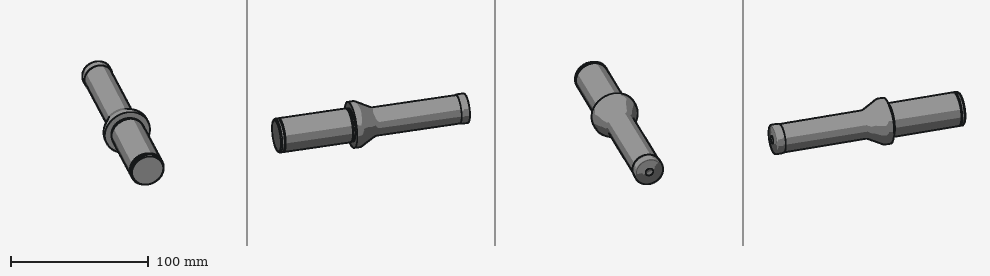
import cadquery as cq
import math

total_length = 144.0

head_length = 7.0
head_diameter = 21.9
head_taper_start = 5.2
head_back_diameter = 21.5
head_corner_radius = 0.9
face_diameter = 18.7
face_setback = 0.6
point_diameter = 10.1
point_setback = 0.5
dimple_diameter = 5.8
dimple_depth = 0.6

neck_diameter = 21.0
neck_fillet_start = 69.5
neck_fillet_radius = 5.2
cone_angle = math.radians(28)
collar_diameter = 34.0
collar_fillet_radius = 3.6
collar_back = 87.7

shank_diameter = 25.0
relief_diameter = 24.5
undercut_width = 1.3
undercut_taper = 0.9
groove_start = 140.4
groove_width = 0.9
end_chamfer_length = 1.0
end_chamfer_height = 0.9


def revolve_about_x(profile):
    """Revolve a closed profile, drawn as (X, radius), about the X axis."""
    return profile.close().revolve(360, (0, 0, 0), (1, 0, 0))


def make_head():
    radius = head_diameter / 2
    arc_center_x = face_setback + head_corner_radius
    arc_center_r = radius - head_corner_radius
    diagonal = head_corner_radius * math.sqrt(0.5)
    profile = (
        cq.Workplane("XY")
        .moveTo(dimple_depth, 0)
        .lineTo(0, dimple_diameter / 2)
        .lineTo(point_setback, point_diameter / 2)
        .lineTo(face_setback, face_diameter / 2)
        .lineTo(face_setback, arc_center_r)
        .threePointArc((arc_center_x - diagonal, arc_center_r + diagonal), (arc_center_x, radius))
        .lineTo(head_taper_start, radius)
        .lineTo(head_length, head_back_diameter / 2)
        .lineTo(head_length, 0)
    )
    return revolve_about_x(profile)


def make_holder():
    neck_radius = neck_diameter / 2
    collar_radius = collar_diameter / 2
    shank_radius = shank_diameter / 2
    relief_radius = relief_diameter / 2

    def arc_run(radius, angle):
        return radius * math.sin(angle)

    def arc_rise(radius, angle):
        return radius * (1 - math.cos(angle))

    half_angle = cone_angle / 2
    neck_arc_middle = (
        neck_fillet_start + arc_run(neck_fillet_radius, half_angle),
        neck_radius + arc_rise(neck_fillet_radius, half_angle),
    )
    cone_start = (
        neck_fillet_start + arc_run(neck_fillet_radius, cone_angle),
        neck_radius + arc_rise(neck_fillet_radius, cone_angle),
    )
    cone_end_radius = collar_radius - arc_rise(collar_fillet_radius, cone_angle)
    cone_end_x = cone_start[0] + (cone_end_radius - cone_start[1]) / math.tan(cone_angle)
    rim_start = cone_end_x + arc_run(collar_fillet_radius, cone_angle)
    collar_arc_middle = (
        rim_start - arc_run(collar_fillet_radius, half_angle),
        collar_radius - arc_rise(collar_fillet_radius, half_angle),
    )

    undercut_end = collar_back + undercut_width
    groove_end = groove_start + groove_width
    profile = (
        cq.Workplane("XY")
        .moveTo(head_length, 0)
        .lineTo(head_length, neck_radius)
        .lineTo(neck_fillet_start, neck_radius)
        .threePointArc(neck_arc_middle, cone_start)
        .lineTo(cone_end_x, cone_end_radius)
        .threePointArc(collar_arc_middle, (rim_start, collar_radius))
        .lineTo(collar_back, collar_radius)
        .lineTo(collar_back, relief_radius)
        .lineTo(undercut_end, relief_radius)
        .lineTo(undercut_end + undercut_taper, shank_radius)
        .lineTo(groove_start, shank_radius)
        .lineTo(groove_start + groove_width / 2, relief_radius)
        .lineTo(groove_end, shank_radius)
        .lineTo(total_length - end_chamfer_length, shank_radius)
        .lineTo(total_length, shank_radius - end_chamfer_height)
        .lineTo(total_length, 0)
    )
    return revolve_about_x(profile)


head = make_head()
holder = make_holder()

result = cq.Compound.makeCompound([head.val(), holder.val()])